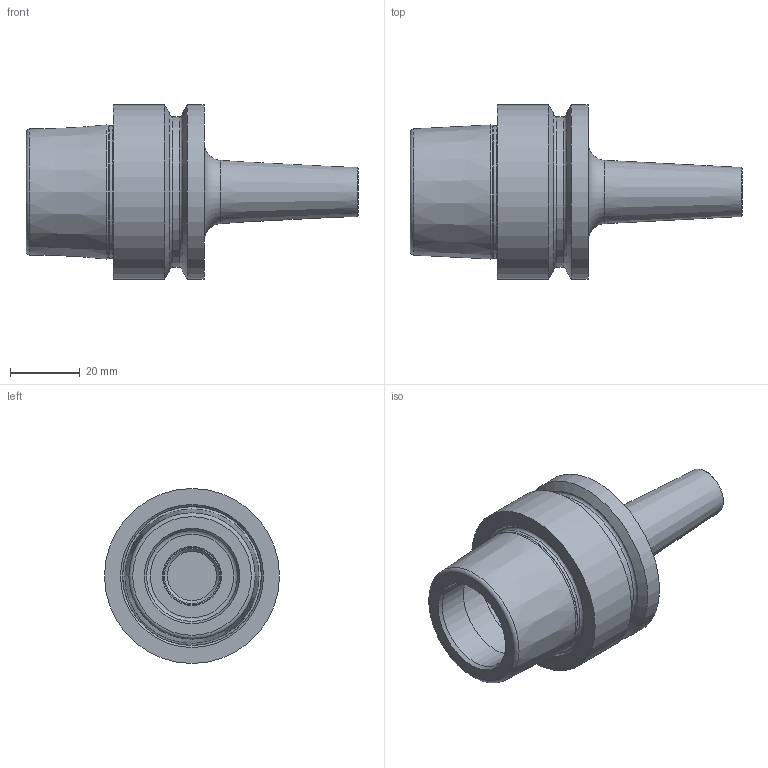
import cadquery as cq
import math


FLANGE_RADIUS = 25.0
FLANGE_WIDTH = 26.0

GROOVE_CENTRE_X = 17.95
GROOVE_DEPTH = 3.5
GROOVE_SLOT_HALF_WIDTH = 1.8
GROOVE_SLOT_DEPTH = 0.9
GROOVE_CORNER_RADIUS = 0.8
GROOVE_FLANK_ANGLE = math.radians(30)

SHANK_LENGTH = 24.9
GAUGE_RADIUS = 19.0
GAUGE_X = -5.0
TAPER_SLOPE = 1 / 20
SHANK_TIP_FILLET = 1.1
TAPER_END_X = -1.9
RELIEF_RADIUS = 19.0
RELIEF_START_X = -1.2
RELIEF_BLEND = 0.4

UNDERCUT_DEPTH = 0.6
UNDERCUT_FLOOR_RADIUS = 19.85
UNDERCUT_FILLET = 0.8

NOSE_END_X = 70.0
NOSE_TIP_RADIUS = 7.0
NOSE_HALF_ANGLE = math.radians(3)
NOSE_ROOT_FILLET = 5.0
NOSE_CHAMFER = 0.25

BORE_RADIUS = 13.0
BORE_DEPTH = 9.6
BORE_MOUTH_CHAMFER = 0.6
BORE_MOUTH_HALF_ANGLE = math.radians(30)

CHAMBER_RADIUS = 16.0
CHAMBER_CONE_START_DEPTH = 20.7
CHAMBER_CONE_HALF_ANGLE = math.radians(30)
CHAMBER_CONE_END_RADIUS = 12.75
CHAMBER_WALL_BLEND = 4.0
CHAMBER_FLOOR_FILLET = 1.5

HOLE_MOUTH_RADIUS = 8.4
HOLE_CHAMFER = 0.25
HOLE_STEP_DEPTH = 3.0
HOLE_RADIUS = 7.85
HOLE_FLOOR_RADIUS = 7.0
HOLE_DEPTH = 10.0


def taper_radius(x):
    """Radius of the shank taper at x."""
    return GAUGE_RADIUS + (x - GAUGE_X) * TAPER_SLOPE


def nose_radius(x):
    """Radius of the nose taper at x."""
    return NOSE_TIP_RADIUS + (NOSE_END_X - x) * math.tan(NOSE_HALF_ANGLE)


def rounded_corner(before, corner, after, radius):
    """Start, middle and end of the arc that rounds an outline corner."""
    corner = cq.Vector(*corner)
    to_before = (cq.Vector(*before) - corner).normalized()
    to_after = (cq.Vector(*after) - corner).normalized()
    half_angle = to_before.getAngle(to_after) / 2
    tangent_length = radius / math.tan(half_angle)
    bisector = (to_before + to_after).normalized()
    middle = corner + bisector * (radius / math.sin(half_angle) - radius)
    return corner + to_before * tangent_length, middle, corner + to_after * tangent_length


def turned(outline):
    """Revolve a closed outline of (x, radius, corner rounding) about the X axis."""
    points = [(x, -radius) for x, radius, _ in outline]
    profile = cq.Workplane("XY").moveTo(*points[0])
    for i in range(1, len(outline)):
        rounding = outline[i][2]
        if rounding:
            start, middle, end = rounded_corner(points[i - 1], points[i], points[i + 1], rounding)
            profile = profile.lineTo(start.x, start.y)
            profile = profile.threePointArc((middle.x, middle.y), (end.x, end.y))
        else:
            profile = profile.lineTo(*points[i])
    return profile.close().revolve(360, (0, 0, 0), (1, 0, 0))


def holder_body():
    """Shank, flange and nose as one solid of revolution."""
    shank_tip_x = -SHANK_LENGTH
    chamfer_x = NOSE_END_X - NOSE_CHAMFER
    undercut_mouth_radius = UNDERCUT_FLOOR_RADIUS + UNDERCUT_DEPTH
    return turned([
        (shank_tip_x, 0, 0),
        (shank_tip_x, taper_radius(shank_tip_x), SHANK_TIP_FILLET),
        (TAPER_END_X, taper_radius(TAPER_END_X), 0),
        (RELIEF_START_X, RELIEF_RADIUS, RELIEF_BLEND),
        (UNDERCUT_DEPTH, RELIEF_RADIUS, UNDERCUT_FILLET),
        (UNDERCUT_DEPTH, UNDERCUT_FLOOR_RADIUS, 0),
        (0, undercut_mouth_radius, 0),
        (0, FLANGE_RADIUS, 0),
        (FLANGE_WIDTH, FLANGE_RADIUS, 0),
        (FLANGE_WIDTH, nose_radius(FLANGE_WIDTH), NOSE_ROOT_FILLET),
        (chamfer_x, nose_radius(chamfer_x), 0),
        (NOSE_END_X, NOSE_TIP_RADIUS - NOSE_CHAMFER, 0),
        (NOSE_END_X, 0, 0),
    ])


def gripper_groove():
    """Ring to cut: a round-cornered slot that opens out in sloping flanks."""
    floor_radius = FLANGE_RADIUS - GROOVE_DEPTH
    flank_radius = floor_radius + GROOVE_SLOT_DEPTH
    flank_width = (FLANGE_RADIUS - flank_radius) * math.tan(GROOVE_FLANK_ANGLE)
    mouth_half_width = GROOVE_SLOT_HALF_WIDTH + flank_width
    slot_left = GROOVE_CENTRE_X - GROOVE_SLOT_HALF_WIDTH
    slot_right = GROOVE_CENTRE_X + GROOVE_SLOT_HALF_WIDTH
    return turned([
        (GROOVE_CENTRE_X - mouth_half_width, FLANGE_RADIUS, 0),
        (slot_left, flank_radius, 0),
        (slot_left, floor_radius, GROOVE_CORNER_RADIUS),
        (slot_right, floor_radius, GROOVE_CORNER_RADIUS),
        (slot_right, flank_radius, 0),
        (GROOVE_CENTRE_X + mouth_half_width, FLANGE_RADIUS, 0),
    ])


def shank_cavity():
    """Material removed from the shank end: bore, chamber and stepped blind hole."""
    mouth_x = -SHANK_LENGTH
    mouth_cone_end_x = mouth_x + BORE_MOUTH_CHAMFER / math.tan(BORE_MOUTH_HALF_ANGLE)
    bore_end_x = mouth_x + BORE_DEPTH
    cone_start_x = mouth_x + CHAMBER_CONE_START_DEPTH
    chamber_cone_height = CHAMBER_RADIUS - CHAMBER_CONE_END_RADIUS
    chamber_floor_x = cone_start_x + chamber_cone_height / math.tan(CHAMBER_CONE_HALF_ANGLE)
    hole_step_x = chamber_floor_x + HOLE_STEP_DEPTH
    hole_floor_x = chamber_floor_x + HOLE_DEPTH
    hole_entry_radius = HOLE_MOUTH_RADIUS - HOLE_CHAMFER
    hole_cone_length = HOLE_RADIUS - HOLE_FLOOR_RADIUS
    return turned([
        (mouth_x, 0, 0),
        (mouth_x, BORE_RADIUS + BORE_MOUTH_CHAMFER, 0),
        (mouth_cone_end_x, BORE_RADIUS, 0),
        (bore_end_x, BORE_RADIUS, 0),
        (bore_end_x, CHAMBER_RADIUS, 0),
        (cone_start_x, CHAMBER_RADIUS, CHAMBER_WALL_BLEND),
        (chamber_floor_x, CHAMBER_CONE_END_RADIUS, CHAMBER_FLOOR_FILLET),
        (chamber_floor_x, HOLE_MOUTH_RADIUS, 0),
        (chamber_floor_x + HOLE_CHAMFER, hole_entry_radius, 0),
        (hole_step_x, hole_entry_radius, 0),
        (hole_step_x, HOLE_RADIUS, 0),
        (hole_floor_x - hole_cone_length, HOLE_RADIUS, 0),
        (hole_floor_x, HOLE_FLOOR_RADIUS, 0),
        (hole_floor_x, 0, 0),
    ])


result = holder_body().cut(gripper_groove()).cut(shank_cavity())